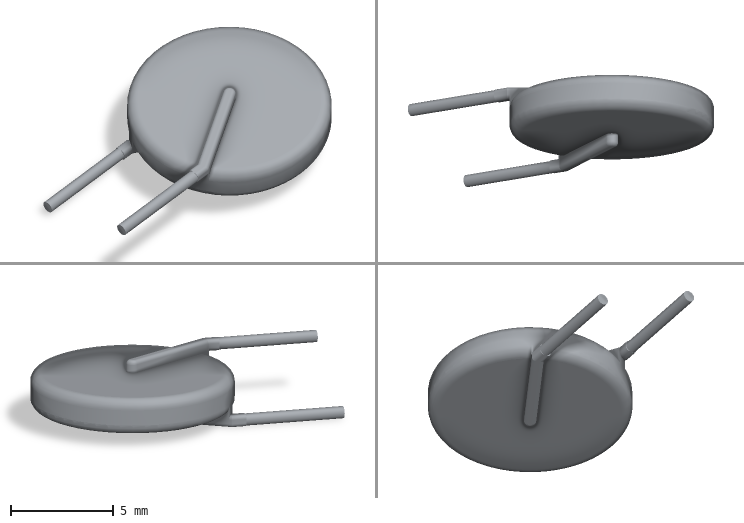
import math

import cadquery as cq

overall_height = 3.0
disc_radius = 5.0
disc_thickness = 1.8
rim_fillet = 0.51

lead_width = 0.6
lead_spacing = 5.12
coat_spacing = 5.09
coat_fillet = 0.2
bend_angle = 30.3
wire_end_y = -9.96

half_width = lead_width / 2
face_z = disc_thickness / 2
web_bottom_z = face_z - rim_fillet
wire_z = overall_height / 2 - half_width
wire_x = lead_spacing / 2
coat_x = coat_spacing / 2
coat_end_y = -disc_radius
bend = math.radians(bend_angle)
bend_y = -coat_x / math.tan(bend)


def make_disc():
    disc = cq.Workplane("XY", origin=(0, 0, -face_z)).circle(disc_radius).extrude(disc_thickness)
    return disc.faces("|Z").edges().fillet(rim_fillet)


def bent_strip(bottom_z, top_z):
    """Strip from the disc centre out to the rim, bent to -Y near the rim, with a round inner end."""
    side_x = half_width * math.cos(bend)
    side_y = half_width * math.sin(bend)
    mitre_shift = half_width * math.tan(bend / 2)
    return (
        cq.Workplane("XY", origin=(0, 0, bottom_z))
        .moveTo(side_x, side_y)
        .lineTo(coat_x + half_width, bend_y + mitre_shift)
        .lineTo(coat_x + half_width, coat_end_y)
        .lineTo(coat_x - half_width, coat_end_y)
        .lineTo(coat_x - half_width, bend_y - mitre_shift)
        .lineTo(-side_x, -side_y)
        .threePointArc((-side_y, side_x), (side_x, side_y))
        .close()
        .extrude(top_z - bottom_z)
    )


def make_coat():
    """Coated run with rounded long edges; the flat end where the wire leaves stays sharp."""
    coat = bent_strip(wire_z - half_width, wire_z + half_width)
    return coat.faces("|Z").edges("not |X").fillet(coat_fillet)


def make_web():
    """Fills the rounded rim below the coated run, flush with the side of the disc."""
    disc_column = cq.Workplane("XY").circle(disc_radius).extrude(wire_z)
    return bent_strip(web_bottom_z, wire_z).intersect(disc_column)


def make_wire():
    wire_length = coat_end_y - wire_end_y
    return cq.Workplane("XZ", origin=(wire_x, coat_end_y, wire_z)).circle(half_width).extrude(wire_length)


top_lead = make_coat().union(make_web()).union(make_wire())
bottom_lead = top_lead.rotate((0, 0, 0), (0, 1, 0), 180)

result = make_disc().union(top_lead).union(bottom_lead)